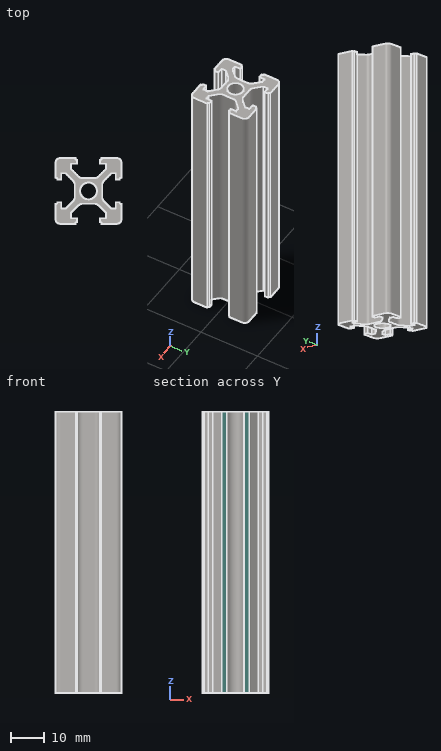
import cadquery as cq

length = 85.0
width = 20.0
corner_radius = 1.5
bore_diameter = 5.0

slot_half_opening = 3.4
lip_step = 0.5
step_root_radius = 0.25
lip_thickness = 1.8
cavity_half_width = 5.3
floor_half_width = 2.55
floor_fillet = 1.9

core_half_x = 4.2
core_half_y = 3.9

half_width = width / 2
lip_inside = half_width - lip_thickness
step_floor = half_width - lip_step
step_half_width = slot_half_opening + lip_step


def make_bar():
    """Square bar with rounded long edges."""
    bar = cq.Workplane("XY").rect(width, width).extrude(length)
    return bar.edges("|Z").fillet(corner_radius)


def make_slot(floor_height):
    """Full-length solid filling the T-slot on the +Y side, down to floor_height."""
    flank_top = floor_height + cavity_half_width - floor_half_width
    right_side = [
        (floor_half_width, floor_height),
        (cavity_half_width, flank_top),
        (cavity_half_width, lip_inside),
        (slot_half_opening, lip_inside),
        (slot_half_opening, step_floor),
        (step_half_width, step_floor),
        (step_half_width, half_width),
    ]
    left_side = [(-x, y) for x, y in reversed(right_side)]
    slot = cq.Workplane("XY").polyline(right_side + left_side).close().extrude(length)

    for side in (-1, 1):
        step_root = cq.selectors.NearestToPointSelector((side * step_half_width, step_floor, length / 2))
        slot = slot.edges("|Z").edges(step_root).fillet(step_root_radius)

    return slot.faces("<Y").edges("|Z").fillet(floor_fillet)


result = make_bar()
slot_y = make_slot(core_half_y)
slot_x = make_slot(core_half_x)
for slot, angles in ((slot_y, (0, 180)), (slot_x, (90, 270))):
    for angle in angles:
        result = result.cut(slot.rotate((0, 0, 0), (0, 0, 1), angle))

result = result.faces(">Z").workplane(origin=(0, 0, 0)).hole(bore_diameter)